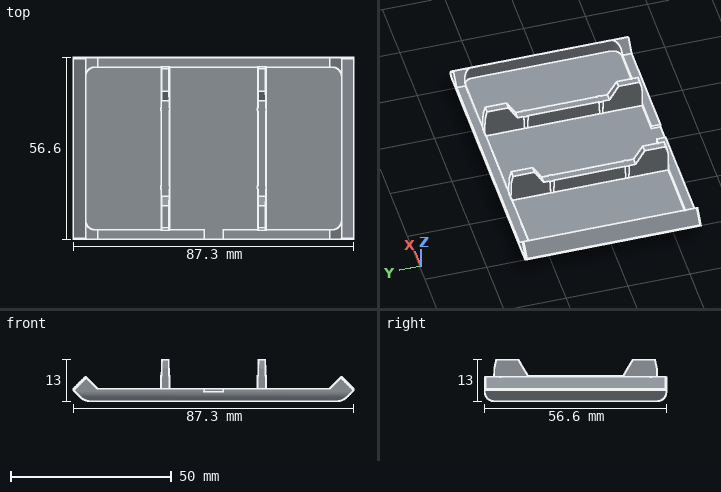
import cadquery as cq
import math

length = 87.3
width = 56.6
height = 13.0
floor_top = 3.0
rim_top = 3.9
side_round = 3.0

ridge_run = 3.8
ridge_peak = 7.7
tip_height = ridge_peak - ridge_run
tip_flat = 0.35
end_round = 4.4
ridge_edge_chamfer = 0.35

rim_width = 3.0
pocket_corner = 3.0
notch_width = 5.9

rib_spacing = 30.0
rib_length = 51.0
rib_base_thickness = 2.6
rib_top_thickness = 2.2
rib_valley_top = 8.0
tab_bevel_start = 9.4
tab_outer_half = 24.7
tab_inner_half = 17.8
valley_half = 14.8
post_diameter = 2.8
post_offset = 12.1


def make_tray():
    """Ridged plate with bevelled ends and rounded lower long edges."""
    half = length / 2
    peak_x = half - ridge_run
    ridge_foot = peak_x - (ridge_peak - rim_top)
    bevel_top = tip_height - tip_flat
    bottom_x = half - bevel_top
    tangent = end_round * math.tan(math.pi / 8)
    bevel_x = bottom_x + tangent * math.cos(math.pi / 4)
    bevel_z = tangent * math.sin(math.pi / 4)
    arc_x = bottom_x - tangent + end_round * math.sin(math.pi / 8)
    arc_z = end_round * (1 - math.cos(math.pi / 8))
    plate = (
        cq.Workplane("XZ")
        .moveTo(-bottom_x + tangent, 0)
        .lineTo(bottom_x - tangent, 0)
        .threePointArc((arc_x, arc_z), (bevel_x, bevel_z))
        .lineTo(half, bevel_top)
        .lineTo(half, tip_height)
        .lineTo(peak_x, ridge_peak)
        .lineTo(ridge_foot, rim_top)
        .lineTo(-ridge_foot, rim_top)
        .lineTo(-peak_x, ridge_peak)
        .lineTo(-half, tip_height)
        .lineTo(-half, bevel_top)
        .lineTo(-bevel_x, bevel_z)
        .threePointArc((-arc_x, arc_z), (-bottom_x + tangent, 0))
        .close()
        .extrude(width / 2, both=True)
    )
    right_slope = cq.selectors.BoxSelector((peak_x, -half, tip_height), (half, half, ridge_peak))
    left_slope = cq.selectors.BoxSelector((-half, -half, tip_height), (-peak_x, half, ridge_peak))
    plate = plate.edges(right_slope + left_slope).edges("not(|Y)").chamfer(ridge_edge_chamfer)
    envelope = (
        cq.Workplane("XY")
        .box(length, width, height, centered=(True, True, False))
        .edges("|X and <Z")
        .fillet(side_round)
    )
    return plate.intersect(envelope)


def make_pocket():
    """Rounded recess, opened through the -Y rim by a notch."""
    pocket = (
        cq.Workplane("XY")
        .workplane(offset=floor_top)
        .rect(length - 2 * ridge_run, width - 2 * rim_width)
        .extrude(height)
        .edges("|Z")
        .fillet(pocket_corner)
    )
    notch = (
        cq.Workplane("XY")
        .box(notch_width, 2 * rim_width, height, centered=(True, True, False))
        .translate((0, -width / 2, floor_top))
    )
    return pocket.union(notch)


def make_rib():
    """Tapered rib with a raised tab at each end and two round posts."""
    taper = (rib_base_thickness - rib_top_thickness) / 2
    blank = (
        cq.Workplane("XY")
        .workplane(offset=floor_top)
        .rect(rib_base_thickness, rib_length)
        .workplane(offset=height - floor_top)
        .rect(rib_top_thickness, rib_length - 2 * taper)
        .loft(combine=True)
    )
    profile = (
        cq.Workplane("YZ")
        .polyline([
            (-rib_length / 2, floor_top),
            (-rib_length / 2, tab_bevel_start),
            (-tab_outer_half, height),
            (-tab_inner_half, height),
            (-valley_half, rib_valley_top),
            (valley_half, rib_valley_top),
            (tab_inner_half, height),
            (tab_outer_half, height),
            (rib_length / 2, tab_bevel_start),
            (rib_length / 2, floor_top),
        ])
        .close()
        .extrude(rib_base_thickness, both=True)
    )
    posts = (
        cq.Workplane("XY")
        .workplane(offset=floor_top)
        .pushPoints([(0, -post_offset), (0, post_offset)])
        .circle(post_diameter / 2)
        .extrude(rib_valley_top - floor_top)
    )
    return blank.intersect(profile).union(posts)


result = make_tray().cut(make_pocket())
for side in (-1, 1):
    result = result.union(make_rib().translate((side * rib_spacing / 2, 0, 0)))